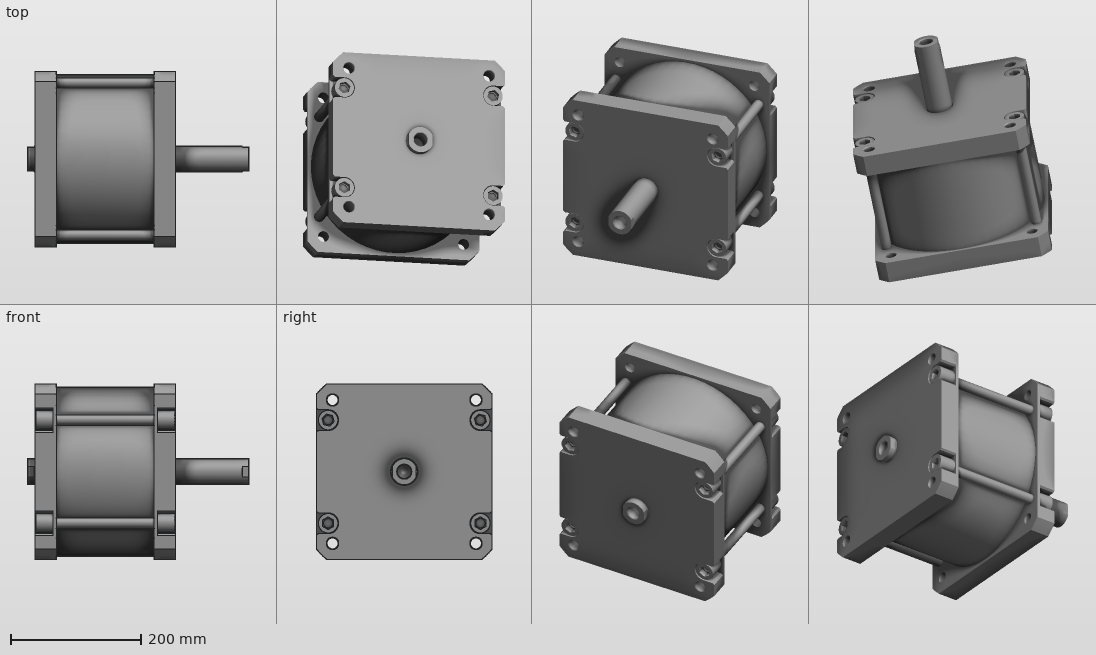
import cadquery as cq
import math

total_length = 340.0

plate_side = 270.0
plate_thickness = 33.0
plate_corner_diameter = 360.0
mount_hole_diameter = 17.0
mount_hole_spacing = 220.3

barrel_length = 150.3
barrel_diameter = 260.0

shaft_diameter = 40.0
shaft_front_stub = 11.2
flat_length = 11.0
flat_run_out = 1.5
flat_across = 36.7
end_bore_diameter = 21.0
end_bore_depth = 34.0
drill_tip_angle = 118.0

rod_diameter = 16.0
rod_spacing_y = 234.0
rod_spacing_z = 158.5
head_diameter = 30.0
head_length = 27.0
socket_across_flats = 16.5
socket_depth = 10.2
socket_drill_diameter = 14.3
socket_drill_depth = 3.5
upper_socket_turn = 15.0

slot_width = 32.0
slot_depth = 28.2
slot_mouth_chamfer = 2.7

hole_chamfer = 1.0

inner_face = barrel_length / 2
outer_face = inner_face + plate_thickness
slot_floor = outer_face - slot_depth
head_end = slot_floor + head_length
shaft_start = -outer_face - shaft_front_stub
shaft_end = shaft_start + total_length


def corner_places(spacing_y, spacing_z):
    """The four (Y, Z) corners of a centred rectangle."""
    return [(sy * spacing_y / 2, sz * spacing_z / 2) for sy in (-1, 1) for sz in (-1, 1)]


mount_hole_places = corner_places(mount_hole_spacing, mount_hole_spacing)
rod_places = corner_places(rod_spacing_y, rod_spacing_z)


def x_plane(x):
    """Plane facing +X at the given X; its local axes are Y and Z."""
    return cq.Workplane("YZ", origin=(x, 0, 0))


def x_cylinder(diameter, x_from, x_to, y=0.0, z=0.0):
    """Cylinder along X between two X positions."""
    return x_plane(x_from).center(y, z).circle(diameter / 2).extrude(x_to - x_from)


def head_slot(y, z):
    """Cutter for one head slot: round inner end, open to the nearest Y side, chamfered mouth."""
    side = math.copysign(1, y)
    edge = side * plate_side / 2
    half = slot_width / 2
    flare = half + slot_mouth_chamfer
    mouth = edge - side * slot_mouth_chamfer
    return (
        x_plane(slot_floor)
        .moveTo(edge, z + flare)
        .lineTo(mouth, z + half)
        .lineTo(y, z + half)
        .threePointArc((y - side * half, z), (y, z - half))
        .lineTo(mouth, z - half)
        .lineTo(edge, z - flare)
        .close()
        .extrude(slot_depth)
    )


def hole_cutter(diameter, y=0.0, z=0.0):
    """Cutter for a hole through the +X plate, chamfered at the outer face."""
    radius = diameter / 2
    flare = (
        x_plane(outer_face - hole_chamfer)
        .center(y, z)
        .circle(radius)
        .workplane(offset=hole_chamfer)
        .circle(radius + hole_chamfer)
        .loft()
    )
    return x_cylinder(diameter, inner_face, outer_face, y, z).union(flare)


def plate_blank():
    """Square plate whose four corners are turned off to a common diameter."""
    square = x_plane(inner_face).rect(plate_side, plate_side).extrude(plate_thickness)
    return square.intersect(x_cylinder(plate_corner_diameter, inner_face, outer_face))


def make_plate():
    """End plate on the +X side of the barrel, with its holes and head slots."""
    plate = plate_blank().cut(hole_cutter(shaft_diameter))
    for y, z in mount_hole_places:
        plate = plate.cut(hole_cutter(mount_hole_diameter, y, z))
    for y, z in rod_places:
        plate = plate.cut(x_cylinder(rod_diameter, inner_face, outer_face, y, z))
        plate = plate.cut(head_slot(y, z))
    return plate


def make_barrel():
    """Barrel between the plates, bored for the shaft."""
    barrel = x_cylinder(barrel_diameter, -inner_face, inner_face)
    return barrel.cut(x_cylinder(shaft_diameter, -inner_face, inner_face))


def shaft_end_flat(x_tip, inward, side):
    """Cutter for one wrench flat with a sloped inner end; inward is the X direction into the shaft."""
    flat_y = side * flat_across / 2
    rim_y = side * shaft_diameter / 2
    flat_stop = x_tip + inward * flat_length
    return (
        cq.Workplane("XY", origin=(0, 0, -shaft_diameter / 2))
        .moveTo(x_tip, flat_y)
        .lineTo(flat_stop - inward * flat_run_out, flat_y)
        .lineTo(flat_stop, rim_y)
        .lineTo(x_tip, rim_y)
        .close()
        .extrude(shaft_diameter)
    )


def shaft_end_bore(x_tip, inward):
    """Cutter for the drilled hole in one shaft end, with a chamfered mouth and a conical bottom."""
    radius = end_bore_diameter / 2
    tip_length = radius / math.tan(math.radians(drill_tip_angle / 2))
    bottom = x_tip + inward * end_bore_depth
    return (
        cq.Workplane("XY")
        .moveTo(x_tip, 0)
        .lineTo(x_tip, radius + hole_chamfer)
        .lineTo(x_tip + inward * hole_chamfer, radius)
        .lineTo(bottom, radius)
        .lineTo(bottom + inward * tip_length, 0)
        .close()
        .revolve(360, (0, 0, 0), (1, 0, 0))
    )


def make_shaft():
    """Through shaft with a pair of flats and a drilled hole at both ends."""
    shaft = x_cylinder(shaft_diameter, shaft_start, shaft_end)
    for x_tip, inward in ((shaft_start, 1), (shaft_end, -1)):
        shaft = shaft.cut(shaft_end_bore(x_tip, inward))
        for side in (-1, 1):
            shaft = shaft.cut(shaft_end_flat(x_tip, inward, side))
    return shaft


def head_socket(start, inward, turn):
    """Cutter for one hexagon socket with a round hole in its floor; inward is the X direction into the head."""
    across_corners = socket_across_flats / math.cos(math.pi / 6)
    floor = start + inward * socket_depth
    hexagon = x_plane(start).transformed(rotate=(0, 0, 90 + turn)).polygon(6, across_corners)
    drill = x_cylinder(socket_drill_diameter, floor, floor + inward * socket_drill_depth)
    return hexagon.extrude(inward * socket_depth).union(drill)


def make_tie_rod(y, z):
    """Tie rod with a socket head at both ends."""
    rod = x_cylinder(rod_diameter, -slot_floor, slot_floor)
    rod = rod.union(x_cylinder(head_diameter, slot_floor, head_end))
    rod = rod.union(x_cylinder(head_diameter, -head_end, -slot_floor))
    for start, inward in ((-head_end, 1), (head_end, -1)):
        rod = rod.cut(head_socket(start, inward, upper_socket_turn if z > 0 else 0.0))
    return rod.translate((0, y, z))


right_plate = make_plate()
left_plate = right_plate.mirror("YZ")
barrel = make_barrel()
shaft = make_shaft()
tie_rods = [make_tie_rod(y, z) for y, z in rod_places]

result = cq.Compound.makeCompound(
    [left_plate.val(), right_plate.val(), barrel.val(), shaft.val()] + [rod.val() for rod in tie_rods]
)